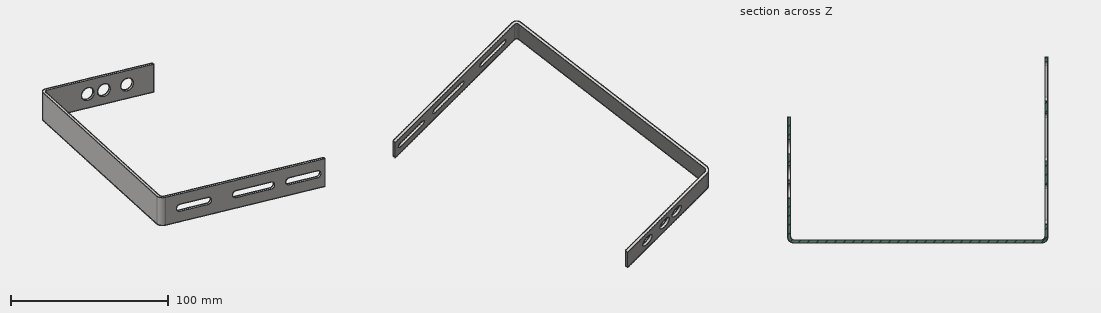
import cadquery as cq

width = 165.0
strap_height = 20.0
thickness = 2.0
outer_bend_radius = 4.0
inner_bend_radius = outer_bend_radius - thickness
short_arm_length = 80.0
long_arm_length = 118.0

hole_diameter = 9.0
hole_positions = (33.0, 44.5, 61.0)

slot_height = 5.0
slot_spans = ((12.0, 37.0), (52.0, 82.0), (90.0, 115.0))

mid_height = strap_height / 2


def make_strap():
    """U-shaped strap: a web along X with two arms of unequal length along +Y."""
    strap = (
        cq.Workplane("XY")
        .polyline([
            (0, 0),
            (width, 0),
            (width, long_arm_length),
            (width - thickness, long_arm_length),
            (width - thickness, thickness),
            (thickness, thickness),
            (thickness, short_arm_length),
            (0, short_arm_length),
        ])
        .close()
        .extrude(strap_height)
    )
    outer_corners = strap.faces("<Y").edges("|Z")
    strap = outer_corners.fillet(outer_bend_radius)
    inner_corners = strap.edges(cq.selectors.BoxSelector(
        (thickness / 2, thickness / 2, 0),
        (width - thickness / 2, 2 * thickness, strap_height),
    )).edges("|Z")
    return inner_corners.fillet(inner_bend_radius)


def hole_cutters():
    """Cylinders through the short arm."""
    centers = [(y, mid_height) for y in hole_positions]
    return cq.Workplane("YZ").pushPoints(centers).circle(hole_diameter / 2).extrude(thickness)


def slot_cutter(near_end, far_end):
    """Round-ended slot through the long arm."""
    return (
        cq.Workplane("YZ", origin=(width - thickness, 0, 0))
        .center((near_end + far_end) / 2, mid_height)
        .slot2D(far_end - near_end, slot_height)
        .extrude(thickness)
    )


result = make_strap().cut(hole_cutters())
for near_end, far_end in slot_spans:
    result = result.cut(slot_cutter(near_end, far_end))